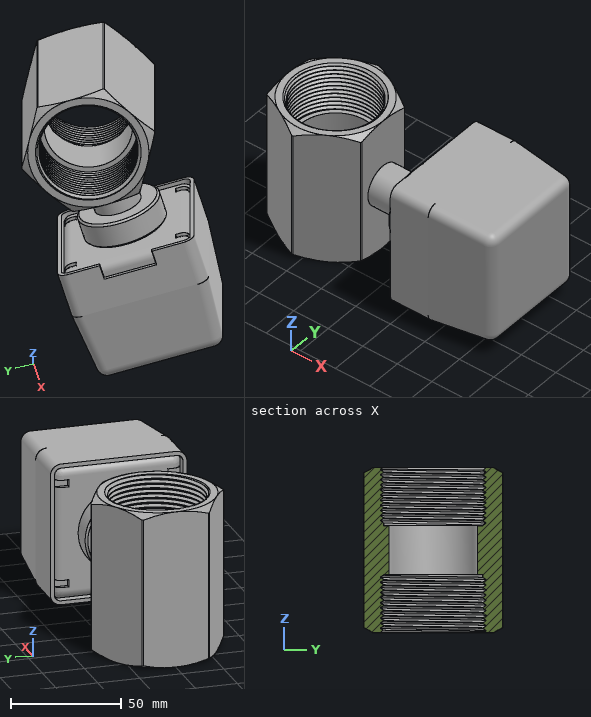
import cadquery as cq
import math

half_sector = 30.0

hex_across_flats = 55.0
hex_trim_diameter = 63.0
hex_height = 75.0
hex_chamfer_angle = 30.0
bore_diameter = 40.0
thread_minor_diameter = 44.9
thread_major_diameter = 47.9
thread_turns = 11
thread_groove_width = 2.0
thread_socket_depth = 26.4
thread_end_depth = 25.4
thread_end_angle = 59.0
groove_cut_tolerance = 0.0001
stem_diameter = 22.0
flange_diameter = 39.0
flange_start = 45.6
flange_chamfer = 1.0

overall_length = 142.0
cover_width = 65.0
cover_height = 68.0
cover_wall = 2.0
cover_corner_radius = 5.1
cover_front = 57.5
cover_draft_start = 79.5
cover_draft_angle = 5.0
cable_slot_width = 24.7
cable_slot_depth = 7.1
base_recess = 0.4
base_edge_radius = 4.4
notch_inner_edge = 23.6
notch_height = 3.4
notch_depth = 2.0
notch_center_height = 24.1

hex_half_flats = hex_across_flats / 2
hex_half_height = hex_height / 2
thread_pitch = thread_end_depth / thread_turns
thread_minor_radius = thread_minor_diameter / 2
thread_major_radius = thread_major_diameter / 2
thread_depth = thread_major_radius - thread_minor_radius
cover_end = overall_length - hex_half_flats
base_front = cover_front + base_recess
base_width = cover_width - 2 * cover_wall
base_height = cover_height - 2 * cover_wall
base_corner_radius = cover_corner_radius - cover_wall


def x_plane(x):
    """Workplane facing +X, with local x along Y and local y along Z."""
    return cq.Workplane("YZ", origin=(x, 0, 0))


def rounded_block(width, height, radius, start, end):
    """Block along X with its four long edges rounded."""
    block = x_plane(start).rect(width, height).extrude(end - start)
    return block.edges("|X").fillet(radius)


def make_chamfered_hexagon():
    """Hexagonal prism with trimmed corners and both ends chamfered to the flats."""
    corner_diameter = hex_across_flats / math.cos(math.radians(half_sector))
    prism = (
        cq.Workplane("XY", origin=(0, 0, -hex_half_height))
        .transformed(rotate=(0, 0, half_sector))
        .polygon(6, corner_diameter)
        .extrude(hex_height)
    )
    trim_radius = hex_trim_diameter / 2
    chamfer_drop = (trim_radius - hex_half_flats) * math.tan(math.radians(hex_chamfer_angle))
    shoulder = hex_half_height - chamfer_drop
    turned_blank = (
        cq.Workplane("XZ")
        .moveTo(0, -hex_half_height)
        .lineTo(hex_half_flats, -hex_half_height)
        .lineTo(trim_radius, -shoulder)
        .lineTo(trim_radius, shoulder)
        .lineTo(hex_half_flats, hex_half_height)
        .lineTo(0, hex_half_height)
        .close()
        .revolve(360, (0, 0, 0), (0, 1, 0))
    )
    return prism.intersect(turned_blank)


def make_socket_hole():
    """Cutting shape for the upper socket: a flat-bottomed hole with a countersunk mouth."""
    socket_floor = hex_half_height - thread_socket_depth
    return (
        cq.Workplane("XZ")
        .moveTo(0, socket_floor)
        .lineTo(thread_minor_radius, socket_floor)
        .lineTo(thread_minor_radius, hex_half_height - thread_depth)
        .lineTo(thread_major_radius, hex_half_height)
        .lineTo(0, hex_half_height)
        .close()
        .revolve(360, (0, 0, 0), (0, 1, 0))
    )


def make_thread_turns():
    """Cutting shapes for the upper thread groove: one helical turn each, running out past the mouth."""
    half_width = thread_groove_width / 2
    inner_radius = thread_minor_radius - thread_depth / 2
    turn = (
        cq.Workplane("XZ")
        .moveTo(inner_radius, -half_width)
        .lineTo(thread_minor_radius, -half_width)
        .lineTo(thread_major_radius, 0)
        .lineTo(thread_minor_radius, half_width)
        .lineTo(inner_radius, half_width)
        .close()
        .sweep(cq.Workplane(cq.Wire.makeHelix(thread_pitch, thread_pitch, thread_minor_radius)), isFrenet=True)
        .rotate((0, 0, 0), (0, 0, 1), thread_end_angle)
    )
    lowest = hex_half_height - thread_end_depth
    return [turn.translate((0, 0, lowest + i * thread_pitch)) for i in range(thread_turns + 1)]


def make_fitting():
    """Hexagonal body with a threaded socket at each end, carrying the stem and flange."""
    fitting = make_chamfered_hexagon()
    flange = (
        x_plane(flange_start)
        .circle(flange_diameter / 2)
        .extrude(base_front - flange_start)
        .edges()
        .chamfer(flange_chamfer)
    )
    stem_root = (hex_half_flats + bore_diameter / 2) / 2
    stem = x_plane(stem_root).circle(stem_diameter / 2).extrude(base_front - stem_root)
    fitting = fitting.union(stem).union(flange)
    bore = cq.Workplane("XY", origin=(0, 0, -hex_half_height)).circle(bore_diameter / 2).extrude(hex_height)
    fitting = fitting.cut(bore)
    for turn in (0, 180):
        fitting = fitting.cut(make_socket_hole().rotate((0, 0, 0), (1, 0, 0), turn))
    for turn in (0, 180):
        for groove in make_thread_turns():
            groove = groove.rotate((0, 0, 0), (1, 0, 0), turn)
            fitting = fitting.cut(groove, clean=False, tol=groove_cut_tolerance)
    return fitting


def make_base():
    """Plug that fills the cover opening: rounded front rim and a snap notch near each corner, open to the side."""
    base = rounded_block(base_width, base_height, base_corner_radius, base_front, cover_draft_start)
    base = base.faces("<X").edges().fillet(base_edge_radius)

    notch_width = base_width / 2 - notch_inner_edge
    notch_middle = notch_inner_edge + notch_width / 2
    for side in (-1, 1):
        for level in (-1, 1):
            notch = cq.Workplane("XY").box(notch_depth, notch_width, notch_height, centered=(False, True, True))
            base = base.cut(notch.translate((base_front, side * notch_middle, level * notch_center_height)))
    return base


def make_cover():
    """Box with a straight rim and a drafted, rounded end, with a pocket for the base."""
    straight = rounded_block(cover_width, cover_height, cover_corner_radius, cover_front, cover_draft_start)
    draft_length = cover_end - cover_draft_start
    tapered = (
        x_plane(cover_draft_start)
        .rect(cover_width, cover_height)
        .extrude(draft_length, taper=cover_draft_angle)
    )
    slanted_edges = tapered.edges("not(|Y or |Z)")
    end_edges = tapered.faces(">X").edges()
    drafted = slanted_edges.add(end_edges).fillet(cover_corner_radius)
    pocket = rounded_block(base_width, base_height, base_corner_radius, cover_front, cover_draft_start)
    slot = cq.Workplane("XY").box(
        cable_slot_depth, cable_slot_width, cover_wall, centered=(False, True, False)
    ).translate((cover_front, 0, -cover_height / 2))
    return straight.union(drafted).cut(pocket).cut(slot)


fitting = make_fitting()
base = make_base()
cover = make_cover()
result = cq.Compound.makeCompound([fitting.val(), base.val(), cover.val()])